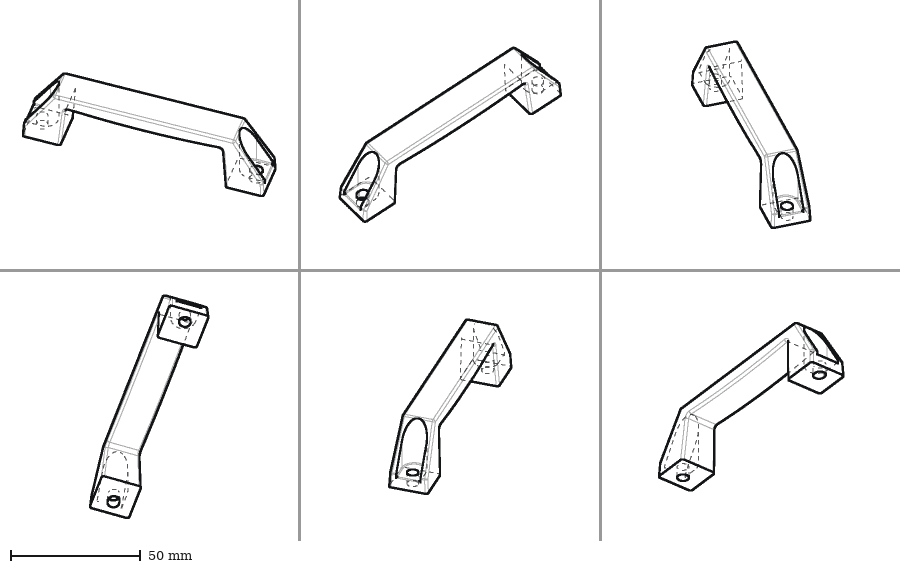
import cadquery as cq
import math

length = 98.0
width = 16.0
height = 26.0

draft_angle = math.radians(3.0)
draft = math.tan(draft_angle)
edge_radius = 1.0

foot_length = 15.5
knee_height = 6.3
slope_top_inset = 12.25

opening_draft = math.tan(math.radians(4.5))
opening_corner_height = 20.3
grip_middle_height = 19.0
opening_corner_radius = 1.5

pocket_width = 9.9
pocket_floor_height = 5.0
pocket_reach = 12.1
pocket_fillet = 0.4
lip_radius = 0.4
hole_diameter = 4.5
hole_spacing = 87.0
slot_length = 5.1

half_length = length / 2
half_width = width / 2
foot_inner_x = half_length - foot_length
opening_corner_x = foot_inner_x - opening_corner_height * opening_draft
hole_x = hole_spacing / 2

opening_corner_edges = cq.selectors.BoxSelector(
    (-foot_inner_x, -half_width / 2, height / 2),
    (foot_inner_x, half_width / 2, height - edge_radius),
)
edges_above_feet = cq.selectors.BoxSelector(
    (-length, -width, edge_radius / 2),
    (length, width, 2 * height),
)


def side_profile():
    """Handle of full width: sloping ends, drafted legs and a gently bulging grip underside."""
    knee_x = half_length - knee_height * draft
    top_x = half_length - slope_top_inset
    return (
        cq.Workplane("XZ")
        .moveTo(-half_length, 0)
        .lineTo(-knee_x, knee_height)
        .lineTo(-top_x, height)
        .lineTo(top_x, height)
        .lineTo(knee_x, knee_height)
        .lineTo(half_length, 0)
        .lineTo(foot_inner_x, 0)
        .lineTo(opening_corner_x, opening_corner_height)
        .threePointArc((0, grip_middle_height), (-opening_corner_x, opening_corner_height))
        .lineTo(-foot_inner_x, 0)
        .close()
        .extrude(half_width, both=True)
    )


def drafted_envelope():
    """Bar of trapezoidal section that gives the long sides their draft."""
    half_top = half_width - height * draft
    section = [(-half_width, 0), (half_width, 0), (half_top, height), (-half_top, height)]
    return cq.Workplane("YZ").polyline(section).close().extrude(half_length, both=True)


def handle_body():
    """Drafted handle with every edge rounded except those around the feet."""
    body = side_profile().intersect(drafted_envelope())
    body = body.edges(opening_corner_edges).fillet(opening_corner_radius)
    return body.edges(edges_above_feet - opening_corner_edges).fillet(edge_radius)


def pocket(side):
    """U-shaped screw pocket, open to the end at +X (side = 1) or -X (side = -1)."""
    half_pocket = pocket_width / 2
    arc_x = half_length - pocket_reach + half_pocket
    open_x = half_length + pocket_width
    return (
        cq.Workplane("XY", origin=(0, 0, pocket_floor_height))
        .moveTo(side * open_x, -half_pocket)
        .lineTo(side * arc_x, -half_pocket)
        .threePointArc((side * (arc_x - half_pocket), 0), (side * arc_x, half_pocket))
        .lineTo(side * open_x, half_pocket)
        .close()
        .extrude(height)
        .faces("<Z")
        .edges()
        .fillet(pocket_fillet)
    )


def pocket_lip(side):
    """Cutter that rounds the edge where the pocket floor meets the drafted end face."""
    centre_z = pocket_floor_height - lip_radius
    centre_x = half_length - centre_z * draft - lip_radius / math.cos(draft_angle)
    middle_angle = (math.pi / 2 + draft_angle) / 2
    face_end = lip_point(centre_x, centre_z, draft_angle)
    middle = lip_point(centre_x, centre_z, middle_angle)
    floor_end = lip_point(centre_x, centre_z, math.pi / 2)
    top_z = pocket_floor_height + pocket_fillet
    cutter = (
        cq.Workplane("XZ")
        .moveTo(*face_end)
        .threePointArc(middle, floor_end)
        .lineTo(centre_x, top_z)
        .lineTo(half_length, top_z)
        .lineTo(half_length, face_end[1])
        .close()
        .extrude(pocket_width / 2, both=True)
    )
    return cutter if side > 0 else cutter.mirror("YZ")


def lip_point(centre_x, centre_z, angle):
    """Point (X, Z) of the lip rounding at an angle above the X direction."""
    return (centre_x + lip_radius * math.cos(angle), centre_z + lip_radius * math.sin(angle))


def add_pockets(body):
    for side in (-1, 1):
        body = body.cut(pocket(side)).cut(pocket_lip(side))
    return body


def drill_holes(body):
    """Round hole in the -X leg and a slot along X in the +X leg."""
    round_hole = cq.Workplane("XY").center(-hole_x, 0).circle(hole_diameter / 2)
    slot = cq.Workplane("XY").center(hole_x, 0).slot2D(slot_length, hole_diameter)
    for outline in (round_hole, slot):
        body = body.cut(outline.extrude(pocket_floor_height))
    return body


result = drill_holes(add_pockets(handle_body()))